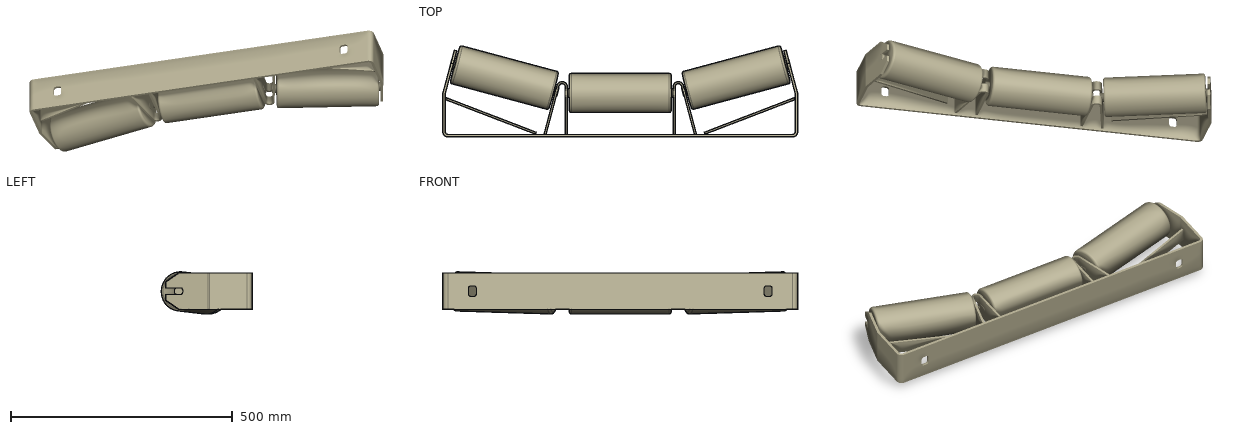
import cadquery as cq
import math


FRAME_LENGTH = 800.0
STRIP_THICKNESS = 6.0
STRIP_WIDTH = 82.0
BEND_RADIUS = 12.0
TROUGH_ANGLE = 15.0
BEND_Y = 98.0
END_PLATE_LENGTH = 101.0
END_CHAMFER_ALONG = 30.0
END_CHAMFER_ACROSS = 20.0
HOLE_X = 333.0
HOLE_WIDTH = 18.0
HOLE_HEIGHT = 24.0
HOLE_CORNER_RADIUS = 6.0

ROLLER_DIAMETER = 88.9
ROLLER_LENGTH = 230.0
ROLLER_FILLET = 5.0
SHAFT_DIAMETER = 20.0
SHAFT_FLATS = 15.0
FLAT_CLEARANCE = 0.5
ROLLER_GAP = 4.0
FORWARD_TILT = 1.735
SIDE_SEAT_DISTANCE = 70.5
SIDE_ROLLER_Z = -4.0
CENTRE_ROLLER_Y = 99.1
CENTRE_ROLLER_Z = -7.3

BRACKET_ARCH_RADIUS = 12.0
BRACKET_THICKNESS = 5.0
BRACKET_WIDTH = 56.0

BRACE_THICKNESS = 5.0
BRACE_WIDTH = 30.0
BRACE_ANGLE = 21.0
BRACE_TOP_Y = 88.7

SEAT_INNER = ROLLER_LENGTH / 2 + ROLLER_GAP
SHAFT_HALF = SEAT_INNER + STRIP_THICKNESS
FLAT_START = SEAT_INNER - FLAT_CLEARANCE
HALF_FRAME = FRAME_LENGTH / 2
SIN_TROUGH = math.sin(math.radians(TROUGH_ANGLE))
COS_TROUGH = math.cos(math.radians(TROUGH_ANGLE))
TAN_TROUGH = SIN_TROUGH / COS_TROUGH

SIDE_ROLLER_X = HALF_FRAME - SIDE_SEAT_DISTANCE * SIN_TROUGH - SHAFT_HALF * COS_TROUGH
SIDE_ROLLER_Y = BEND_Y + SIDE_SEAT_DISTANCE * COS_TROUGH - SHAFT_HALF * SIN_TROUGH

TIP_X = HALF_FRAME - END_PLATE_LENGTH * SIN_TROUGH
TIP_Y = BEND_Y + END_PLATE_LENGTH * COS_TROUGH


def mirror_x(body):
    return body.mirror("YZ")


def place_centre(body):
    """Move a body lying along X at the origin to the centre roller."""
    return body.translate((0, CENTRE_ROLLER_Y, CENTRE_ROLLER_Z))


def place_side(body):
    """Move a body lying along X at the origin to the right-hand side roller."""
    tilted = body.rotate((0, 0, 0), (0, 1, 0), -FORWARD_TILT)
    troughed = tilted.rotate((0, 0, 0), (0, 0, 1), TROUGH_ANGLE)
    return troughed.translate((SIDE_ROLLER_X, SIDE_ROLLER_Y, SIDE_ROLLER_Z))


def make_roller():
    drum_start = cq.Workplane("YZ", origin=(-ROLLER_LENGTH / 2, 0, 0))
    drum = drum_start.circle(ROLLER_DIAMETER / 2).extrude(ROLLER_LENGTH)
    drum = drum.edges("%CIRCLE").fillet(ROLLER_FILLET)
    shaft = cq.Workplane("YZ").circle(SHAFT_DIAMETER / 2).extrude(SHAFT_HALF, both=True)
    flat_envelope = cq.Workplane("XY").box(2 * SHAFT_HALF, SHAFT_DIAMETER, SHAFT_FLATS)
    round_envelope = cq.Workplane("XY").box(2 * FLAT_START, SHAFT_DIAMETER, SHAFT_DIAMETER)
    return drum.union(shaft.intersect(flat_envelope.union(round_envelope)))


def make_slot_cutter(end):
    """Slot open towards +Y for one shaft end (end = +1 or -1), its floor shaped like the shaft."""
    depth = 4 * STRIP_THICKNESS
    reach = END_PLATE_LENGTH
    floor = cq.Workplane("YZ").circle(SHAFT_DIAMETER / 2).extrude(depth)
    band = cq.Workplane("XY").box(depth, SHAFT_DIAMETER, SHAFT_FLATS, centered=(False, True, True))
    sides = cq.Workplane("XY").box(depth, reach, SHAFT_FLATS, centered=(False, False, True))
    cutter = floor.intersect(band).union(sides).translate((FLAT_START, 0, 0))
    return cutter if end > 0 else mirror_x(cutter)


def make_frame():
    inner_x = HALF_FRAME - STRIP_THICKNESS
    inner_bend_y = BEND_Y - STRIP_THICKNESS * math.tan(math.radians(TROUGH_ANGLE / 2))
    inner_tip = (TIP_X - STRIP_THICKNESS * COS_TROUGH, TIP_Y - STRIP_THICKNESS * SIN_TROUGH)
    right_outer = [(HALF_FRAME, 0), (HALF_FRAME, BEND_Y), (TIP_X, TIP_Y)]
    right_inner = [inner_tip, (inner_x, inner_bend_y), (inner_x, STRIP_THICKNESS)]
    right = right_outer + right_inner
    left = [(-x, y) for x, y in reversed(right)]
    frame = cq.Workplane("XY").polyline(right + left).close().extrude(STRIP_WIDTH / 2, both=True)

    inner_radius = BEND_RADIUS - STRIP_THICKNESS
    bends = [(HALF_FRAME, 0, BEND_RADIUS), (HALF_FRAME, BEND_Y, BEND_RADIUS),
             (inner_x, STRIP_THICKNESS, inner_radius), (inner_x, inner_bend_y, inner_radius)]
    for x, y, radius in bends:
        for side in (-1, 1):
            corner = cq.selectors.NearestToPointSelector((side * x, y, 0))
            frame = frame.edges("|Z").edges(corner).fillet(radius)

    end_cutters = [make_end_trim(1), make_end_trim(-1), place_side(make_slot_cutter(1))]
    for cutter in end_cutters:
        frame = frame.cut(cutter).cut(mirror_x(cutter))
    return frame.cut(make_mounting_holes())


def make_end_trim(edge):
    """Corner cut off the right-hand end plate at its upper (+1) or lower (-1) edge."""
    edge_z = edge * STRIP_WIDTH / 2
    chamfer_z = edge * (STRIP_WIDTH / 2 - END_CHAMFER_ACROSS)
    corner = [(0, edge_z), (-END_CHAMFER_ALONG, edge_z), (0, chamfer_z)]
    trim = cq.Workplane("YZ").polyline(corner).close().extrude(2 * STRIP_THICKNESS, both=True)
    return trim.rotate((0, 0, 0), (0, 0, 1), TROUGH_ANGLE).translate((TIP_X, TIP_Y, 0))


def make_mounting_holes():
    holes = cq.Workplane("XZ").pushPoints([(-HOLE_X, 0), (HOLE_X, 0)]).rect(HOLE_WIDTH, HOLE_HEIGHT)
    return holes.extrude(-STRIP_THICKNESS).edges("|Y").fillet(HOLE_CORNER_RADIUS)


def make_bracket():
    outer = BRACKET_ARCH_RADIUS
    inner = BRACKET_ARCH_RADIUS - BRACKET_THICKNESS
    foot_y = STRIP_THICKNESS
    centre_x = SEAT_INNER + outer
    face_x = SIDE_ROLLER_X - SEAT_INNER * COS_TROUGH
    face_y = SIDE_ROLLER_Y - SEAT_INNER * SIN_TROUGH
    lean_x = face_x + face_y * TAN_TROUGH
    centre_y = (lean_x - centre_x - outer / COS_TROUGH) / TAN_TROUGH

    def tangent(radius):
        return (centre_x + radius * COS_TROUGH, centre_y + radius * SIN_TROUGH)

    def leaning_foot(radius):
        x, y = tangent(radius)
        return (x + (y - foot_y) * TAN_TROUGH, foot_y)

    profile = (cq.Workplane("XY").moveTo(centre_x - outer, foot_y)
               .lineTo(centre_x - outer, centre_y)
               .threePointArc((centre_x, centre_y + outer), tangent(outer))
               .lineTo(*leaning_foot(outer))
               .lineTo(*leaning_foot(inner))
               .lineTo(*tangent(inner))
               .threePointArc((centre_x, centre_y + inner), (centre_x - inner, centre_y))
               .lineTo(centre_x - inner, foot_y)
               .close())
    bracket = profile.extrude(BRACKET_WIDTH / 2, both=True).translate((0, 0, CENTRE_ROLLER_Z))
    return bracket.cut(place_centre(make_slot_cutter(1))).cut(place_side(make_slot_cutter(-1)))


def make_brace():
    angle = math.radians(BRACE_ANGLE)
    drop = BRACE_TOP_Y - BRACE_THICKNESS * math.cos(angle) - STRIP_THICKNESS
    length = drop / math.sin(angle)
    top_x = HALF_FRAME - STRIP_THICKNESS - BRACE_THICKNESS * math.sin(angle)
    bar = cq.Workplane("XY").box(length, BRACE_THICKNESS, BRACE_WIDTH, centered=(False, False, True))
    bar = bar.translate((-length, -BRACE_THICKNESS, 0)).rotate((0, 0, 0), (0, 0, 1), BRACE_ANGLE)
    return bar.translate((top_x, BRACE_TOP_Y, 0))


frame = make_frame()
roller = make_roller()
side_roller = place_side(roller)
bracket = make_bracket()
brace = make_brace()

bodies = [frame.val(), place_centre(roller).val()]
for right_body in (side_roller, bracket, brace):
    bodies.append(right_body.val())
    bodies.append(mirror_x(right_body).val())

result = cq.Compound.makeCompound(bodies)